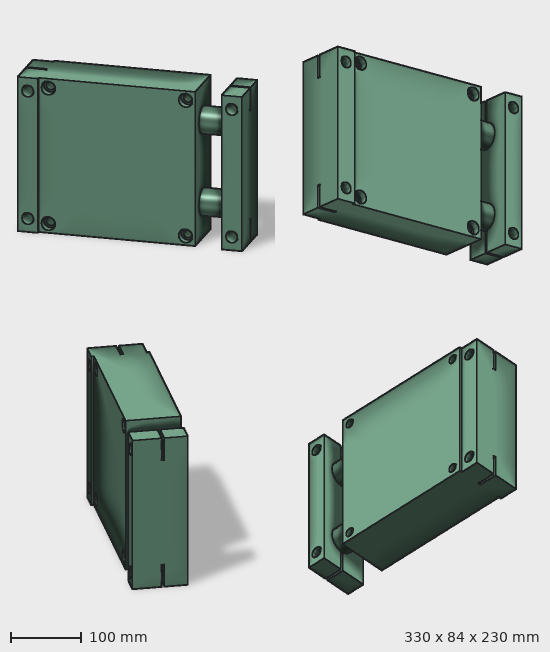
import cadquery as cq

body_length = 230.0
body_height = 230.0
thickness = 80.0

plate_width = 30.0
plate_gap = 40.0
body_offset = 4.0

rod_diameter = 40.0
rod_spacing = 122.0

slot_width = 4.0

plate_hole_diameter = 17.0
plate_hole_spacing = 190.0

mount_hole_diameter = 13.5
mount_bore_diameter = 20.0
mount_bore_depth = 13.0
mount_spacing = 202.0

overall_length = body_length + plate_gap + 2 * plate_width
near_plate_x = (plate_width - overall_length) / 2
far_plate_x = -near_plate_x
body_x = near_plate_x + (plate_width + body_length) / 2
body_front_y = body_offset - thickness / 2
rod_z = rod_spacing / 2
rod_top_z = rod_z + rod_diameter / 2


def block(length, depth, height, x, y, z):
    """Box centred on the given point."""
    return cq.Workplane("XY").box(length, depth, height).translate((x, y, z))


def make_body():
    """Main block with a counterbored through hole near each corner."""
    body = block(body_length, thickness, body_height, body_x, body_offset, 0)
    front = cq.Workplane("XZ", origin=(body_x, body_front_y, 0))
    corners = front.rect(mount_spacing, mount_spacing, forConstruction=True).vertices()
    holes = corners.circle(mount_hole_diameter / 2).extrude(-thickness)
    bores = corners.circle(mount_bore_diameter / 2).extrude(-mount_bore_depth)
    return body.cut(holes).cut(bores)


def make_plate(x):
    """End plate with a clamping slot and a screw hole at each end."""
    plate = block(plate_width, thickness, body_height, x, 0, 0)
    slot_depth = body_height / 2 - rod_top_z
    slot_z = rod_top_z + slot_depth / 2
    for side in (-1, 1):
        slot = block(plate_width, slot_width, slot_depth, x, body_offset, side * slot_z)
        hole = (
            cq.Workplane("XZ", origin=(x, 0, side * plate_hole_spacing / 2))
            .circle(plate_hole_diameter / 2)
            .extrude(thickness / 2, both=True)
        )
        plate = plate.cut(slot).cut(hole)
    return plate


def make_rod(side):
    """Guide rod bridging the gap between the body and the far plate."""
    gap_start_x = body_x + body_length / 2
    return (
        cq.Workplane("YZ", origin=(gap_start_x, body_offset, side * rod_z))
        .circle(rod_diameter / 2)
        .extrude(plate_gap)
    )


result = make_body().union(make_plate(near_plate_x)).union(make_plate(far_plate_x))
for rod_side in (-1, 1):
    result = result.union(make_rod(rod_side))